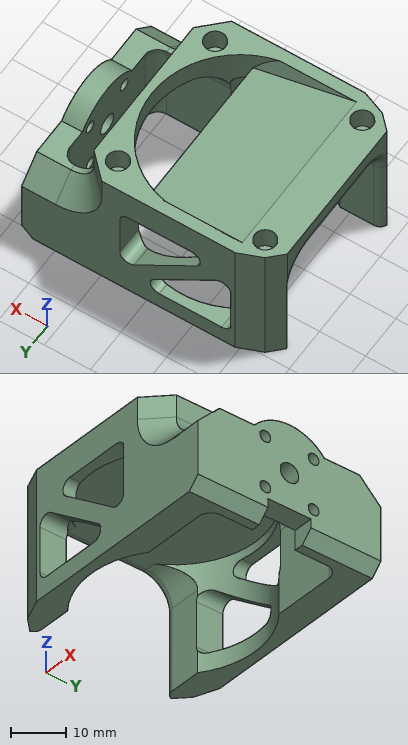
import cadquery as cq

LENGTH = 54.5
WIDTH = 42.8
HEIGHT = 29.5
HALF_WIDTH = WIDTH / 2

OPEN_FACE_HALF_WIDTH = 16.4
CORNER_FACET = 2.95
CORNER_END_X = 8.05

STEP_X = 42.1
STEP_HEIGHT = 19.5
STEP_BEVEL = 5.0
STEP_FILLET = 5.0
HEEL_CHAMFER = 2.5

ROOF_THICKNESS = 4.95
CEILING = HEIGHT - ROOF_THICKNESS
CAVITY_HALF_WIDTH = 15.2
ARCH_RADIUS = 6.0
CAVITY_CORNER_RADIUS = 2.85
MOUTH_FILLET = 2.0
MOUNT_WALL = 4.5
CAVITY_LENGTH = LENGTH - MOUNT_WALL

BORE_X = 21.1
BORE_DIAMETER = 38.35
BORE_RADIUS = BORE_DIAMETER / 2
SHELF_START_X = 8.25
SHELF_END_X = 29.65
SHELF_DROP = 3.85
SHELF_START_HALF_WIDTH = 18.8
SHELF_END_HALF_WIDTH = (BORE_RADIUS**2 - (SHELF_END_X - BORE_X) ** 2) ** 0.5

ROOF_HOLE_DIAMETER = 4.5
ROOF_HOLE_SPACING = 32.0
ROOF_HOLE_DEPTH = ROOF_THICKNESS

MOUNT_CENTER_Z = 12.5
MOUNT_RADIUS = 10.8
SHAFT_HOLE_DIAMETER = 4.3
SCREW_HOLE_DIAMETER = 2.5
SCREW_SPACING = 11.3
NOTCH_WIDTH = 10.05
NOTCH_HEIGHT = 4.45

WINDOW_CENTER_Z = 13.25
WINDOW_LENGTH = 21.4
WINDOW_HEIGHT = 15.95
WINDOW_OFFSET_X = 12.05
WINDOW_OFFSET_Z = 9.2
WINDOW_FILLET = 1.95

PICK = 0.55


def make_cavity():
    """Arched tunnel from the open end to the mounting wall."""
    return (
        cq.Workplane("XY")
        .box(CAVITY_LENGTH, 2 * CAVITY_HALF_WIDTH, CEILING, centered=(False, True, False))
        .edges("|X and >Z")
        .fillet(ARCH_RADIUS)
        .edges("|Z and >X")
        .fillet(CAVITY_CORNER_RADIUS)
    )


def make_plan():
    """Full-height prism of the plan outline, with the faceted corners."""
    facet_y = OPEN_FACE_HALF_WIDTH + CORNER_FACET
    return (
        cq.Workplane("XY")
        .moveTo(0, 0)
        .lineTo(0, OPEN_FACE_HALF_WIDTH)
        .lineTo(CORNER_FACET, facet_y)
        .lineTo(CORNER_END_X, HALF_WIDTH)
        .lineTo(LENGTH, HALF_WIDTH)
        .lineTo(LENGTH, 0)
        .mirrorX()
        .extrude(HEIGHT)
    )


def make_stepped_block():
    """Full-width block with the heel chamfer, the low step and its bevelled rims."""
    block = (
        cq.Workplane("XZ")
        .polyline(
            [
                (0, 0),
                (LENGTH - HEEL_CHAMFER, 0),
                (LENGTH, HEEL_CHAMFER),
                (LENGTH, STEP_HEIGHT),
                (STEP_X, STEP_HEIGHT),
                (STEP_X, HEIGHT),
                (0, HEIGHT),
            ]
        )
        .close()
        .extrude(HALF_WIDTH, both=True)
    )
    inner_edge = cq.selectors.BoxSelector(
        (STEP_X - PICK, -PICK, STEP_HEIGHT - PICK), (STEP_X + PICK, PICK, STEP_HEIGHT + PICK)
    )
    block = block.edges(inner_edge).fillet(STEP_FILLET)
    for y in (-HALF_WIDTH, HALF_WIDTH):
        rim = cq.selectors.BoxSelector(
            (STEP_X - PICK, y - PICK, STEP_HEIGHT - PICK),
            (LENGTH - PICK, y + PICK, HEIGHT - PICK),
        )
        block = block.edges(rim).chamfer(STEP_BEVEL)
    return block


def make_body():
    """Hollow block; the mouth is rounded at full width, then trimmed by the facets."""
    reach_y = CAVITY_HALF_WIDTH + PICK
    mouth = cq.selectors.BoxSelector((-PICK, -reach_y, -PICK), (PICK, reach_y, CEILING + PICK))
    hollow = make_stepped_block().cut(make_cavity()).edges(mouth).fillet(MOUTH_FILLET)
    return make_plan().intersect(hollow)


def make_bore(height):
    """Vertical cylinder from the bottom up to the given height."""
    return cq.Workplane("XY").center(BORE_X, 0).circle(BORE_RADIUS).extrude(height)


def make_shelf_recess():
    """Pocket above the sloped shelf, with sides leaning in as the shelf descends."""
    wedge = (
        cq.Workplane("XZ")
        .polyline([(SHELF_START_X, HEIGHT), (SHELF_END_X, HEIGHT), (SHELF_END_X, HEIGHT - SHELF_DROP)])
        .close()
        .extrude(HALF_WIDTH, both=True)
    )
    trough = (
        cq.Workplane("YZ", origin=(SHELF_START_X, 0, 0))
        .polyline(
            [
                (-SHELF_START_HALF_WIDTH, HEIGHT),
                (SHELF_START_HALF_WIDTH, HEIGHT),
                (SHELF_END_HALF_WIDTH, HEIGHT - SHELF_DROP),
                (-SHELF_END_HALF_WIDTH, HEIGHT - SHELF_DROP),
            ]
        )
        .close()
        .extrude(SHELF_END_X - SHELF_START_X)
    )
    square_end = cq.Workplane("XY").box(BORE_X, WIDTH, HEIGHT, centered=(False, True, False))
    return wedge.intersect(trough).intersect(make_bore(HEIGHT).union(square_end))


def make_open_bore():
    """Part of the bore beyond the shelf, open through the roof."""
    beyond = (
        cq.Workplane("XY")
        .box(LENGTH, WIDTH, HEIGHT, centered=(False, True, False))
        .translate((SHELF_END_X, 0, 0))
    )
    return make_bore(HEIGHT).intersect(beyond)


def make_mount_wall_top():
    """Round raised top of the mounting wall."""
    return (
        cq.Workplane("YZ", origin=(CAVITY_LENGTH, 0, MOUNT_CENTER_Z))
        .circle(MOUNT_RADIUS)
        .extrude(MOUNT_WALL)
    )


def make_mount_cuts():
    """Shaft hole, four screw holes and bottom notch through the mounting wall."""
    base = cq.Workplane("YZ", origin=(CAVITY_LENGTH, 0, MOUNT_CENTER_Z))
    shaft = base.circle(SHAFT_HOLE_DIAMETER / 2).extrude(MOUNT_WALL)
    screws = (
        base.rect(SCREW_SPACING, SCREW_SPACING, forConstruction=True)
        .vertices()
        .circle(SCREW_HOLE_DIAMETER / 2)
        .extrude(MOUNT_WALL)
    )
    notch = (
        cq.Workplane("XY", origin=(CAVITY_LENGTH, 0, 0))
        .box(MOUNT_WALL, NOTCH_WIDTH, NOTCH_HEIGHT, centered=(False, True, False))
    )
    return shaft.union(screws).union(notch)


def make_window(direction):
    """Rounded right triangle; direction -1 is the lower one, +1 its half-turn copy."""
    corner_x = BORE_X + direction * WINDOW_OFFSET_X
    corner_z = WINDOW_CENTER_Z + direction * WINDOW_OFFSET_Z
    return (
        cq.Workplane("XZ")
        .polyline(
            [
                (corner_x, corner_z),
                (corner_x - direction * WINDOW_LENGTH, corner_z),
                (corner_x, corner_z - direction * WINDOW_HEIGHT),
            ]
        )
        .close()
        .extrude(HALF_WIDTH, both=True)
        .edges("|Y")
        .fillet(WINDOW_FILLET)
    )


def make_roof_holes():
    """Four blind holes in a square around the bore."""
    return (
        cq.Workplane("XY", origin=(BORE_X, 0, HEIGHT - ROOF_HOLE_DEPTH))
        .rect(ROOF_HOLE_SPACING, ROOF_HOLE_SPACING, forConstruction=True)
        .vertices()
        .circle(ROOF_HOLE_DIAMETER / 2)
        .extrude(ROOF_HOLE_DEPTH)
    )


result = make_body().union(make_mount_wall_top())
result = result.cut(make_bore(CEILING)).cut(make_open_bore()).cut(make_shelf_recess())
result = result.cut(make_mount_cuts()).cut(make_roof_holes())
for direction in (-1, 1):
    result = result.cut(make_window(direction))